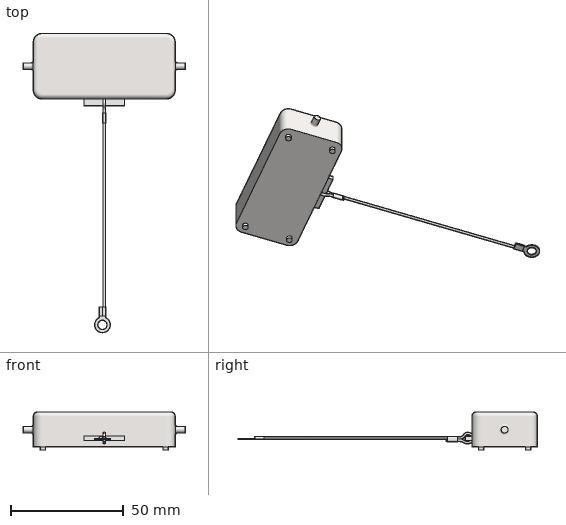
import cadquery as cq
import math

BODY_LENGTH = 63.0
BODY_WIDTH = 29.1
BODY_HEIGHT = 15.5
CORNER_RADIUS = 4.0
TOP_EDGE_RADIUS = 2.0

OVERALL_LENGTH = 72.0
PIN_DIAMETER = 3.0
PIN_HEIGHT = 7.6
PIN_ROOT_RADIUS = 0.9

OVERALL_HEIGHT = 17.0
PEG_DIAMETER = 2.5
PEG_SPACING_X = 54.4
PEG_SPACING_Y = 20.8

TAB_LENGTH = 18.0
TAB_DEPTH = 3.0
TAB_HEIGHT = 2.0
TAB_BASE_HEIGHT = 2.8

OVERALL_WIDTH = 132.69
WIRE_DIAMETER = 1.2
WIRE_HEIGHT = 3.9
LOOP_HALF_HEIGHT = 2.0
LOOP_PEAK_REACH = 2.0
LOOP_RISE = 1.2
LOOP_END_REACH = 5.7

CRIMP_LENGTH = 4.4
CRIMP_START_REACH = 6.3
CRIMP_WIDTH = 1.4
TAIL_DROP = 1.0
TAIL_END_REACH = 11.4

RING_OUTER_DIAMETER = 7.0
RING_HOLE_DIAMETER = 4.0
RING_THICKNESS = 0.4
RING_OFFSET_X = -0.8
SLEEVE_WIDTH = 3.0
SLEEVE_LENGTH = 4.1
SLEEVE_TO_RING_CENTRE = 3.9

front_y = -BODY_WIDTH / 2
crimp_start_y = front_y - CRIMP_START_REACH
wire_radius = WIRE_DIAMETER / 2
wire_bottom = WIRE_HEIGHT - wire_radius
tail_height = WIRE_HEIGHT - TAIL_DROP
ring_centre_y = BODY_WIDTH / 2 - OVERALL_WIDTH + RING_OUTER_DIAMETER / 2
sleeve_end_y = ring_centre_y + SLEEVE_TO_RING_CENTRE
sleeve_start_y = sleeve_end_y + SLEEVE_LENGTH


def rod_along_y(start_y, end_y, height):
    """Round wire running towards -Y at the given height."""
    length = start_y - end_y
    return cq.Workplane("XZ", origin=(0, start_y, height)).circle(wire_radius).extrude(length)


def make_body():
    body = cq.Workplane("XY").rect(BODY_LENGTH, BODY_WIDTH).extrude(BODY_HEIGHT)
    body = body.edges("|Z").fillet(CORNER_RADIUS)
    return body.faces(">Z").edges().fillet(TOP_EDGE_RADIUS)


def make_pin():
    """Pin on the +X end, flared into the wall by a concave root."""
    wall_x = BODY_LENGTH / 2
    tip_x = OVERALL_LENGTH / 2
    pin_radius = PIN_DIAMETER / 2
    root_outer = pin_radius + PIN_ROOT_RADIUS
    arc_drop = PIN_ROOT_RADIUS * (1 - math.sqrt(0.5))
    profile = (
        cq.Workplane("XY", origin=(0, 0, PIN_HEIGHT))
        .moveTo(wall_x - PIN_ROOT_RADIUS, 0)
        .lineTo(wall_x - PIN_ROOT_RADIUS, root_outer)
        .lineTo(wall_x, root_outer)
        .threePointArc(
            (wall_x + arc_drop, pin_radius + arc_drop),
            (wall_x + PIN_ROOT_RADIUS, pin_radius),
        )
        .lineTo(tip_x, pin_radius)
        .lineTo(tip_x, 0)
        .close()
    )
    return profile.revolve(360, (0, 0, 0), (1, 0, 0))


def make_pegs():
    return (
        cq.Workplane("XY")
        .rect(PEG_SPACING_X, PEG_SPACING_Y, forConstruction=True)
        .vertices()
        .circle(PEG_DIAMETER / 2)
        .extrude(BODY_HEIGHT - OVERALL_HEIGHT)
    )


def make_tab():
    return cq.Workplane("XY", origin=(0, front_y - TAB_DEPTH / 2, TAB_BASE_HEIGHT)).box(
        TAB_LENGTH, TAB_DEPTH, TAB_HEIGHT, centered=(True, True, False)
    )


def make_loop_strand(side, end_height):
    """One half of the loop: out of the wall, over its peak, in to the crimp. side is +1 or -1."""
    peak = (front_y - LOOP_PEAK_REACH, WIRE_HEIGHT + side * LOOP_HALF_HEIGHT)
    start = (front_y + wire_radius, WIRE_HEIGHT + side * (LOOP_HALF_HEIGHT - LOOP_RISE))
    end = (front_y - LOOP_END_REACH, end_height)
    crimp_entry = (crimp_start_y - wire_radius, end_height)
    path = (
        cq.Workplane("YZ")
        .moveTo(*start)
        .spline([peak, end], tangents=[(-1, side), (-1, 0), (-1, 0)], includeCurrent=True)
        .lineTo(*crimp_entry)
    )
    section = cq.Workplane(cq.Plane(origin=(0, *start), xDir=(1, 0, 0), normal=(0, -1, side)))
    return section.circle(wire_radius).sweep(path)


def make_crimp():
    crimp_height = CRIMP_WIDTH + TAIL_DROP
    crimp_middle = WIRE_HEIGHT - TAIL_DROP / 2
    return (
        cq.Workplane("XZ", origin=(0, crimp_start_y, crimp_middle))
        .slot2D(crimp_height, CRIMP_WIDTH, 90)
        .extrude(CRIMP_LENGTH)
    )


def make_lanyard():
    wire = rod_along_y(crimp_start_y, sleeve_end_y, WIRE_HEIGHT)
    tail = rod_along_y(crimp_start_y, front_y - TAIL_END_REACH, tail_height)
    upper_strand = make_loop_strand(1, WIRE_HEIGHT)
    lower_strand = make_loop_strand(-1, tail_height)
    return make_crimp().union(wire).union(tail).union(upper_strand).union(lower_strand)


def make_ring_terminal():
    """Flat ring with a neck, crimped to the wire by a two-lobed sleeve."""
    base = cq.Workplane("XY", origin=(RING_OFFSET_X, ring_centre_y, wire_bottom))
    neck_length = sleeve_start_y - ring_centre_y
    ring = base.circle(RING_OUTER_DIAMETER / 2).extrude(RING_THICKNESS)
    neck = base.center(0, neck_length / 2).rect(SLEEVE_WIDTH, neck_length).extrude(RING_THICKNESS)
    hole = base.circle(RING_HOLE_DIAMETER / 2).extrude(RING_THICKNESS)
    half_width = SLEEVE_WIDTH / 2
    lobe_radius = half_width / 2
    sleeve = (
        cq.Workplane("XZ", origin=(RING_OFFSET_X, sleeve_start_y, wire_bottom))
        .moveTo(-half_width, 0)
        .lineTo(-half_width, wire_radius)
        .threePointArc((-lobe_radius, wire_radius + lobe_radius), (0, wire_radius))
        .threePointArc((lobe_radius, wire_radius + lobe_radius), (half_width, wire_radius))
        .lineTo(half_width, 0)
        .close()
        .extrude(SLEEVE_LENGTH)
    )
    return ring.union(neck).cut(hole).union(sleeve)


pin = make_pin()
result = (
    make_body()
    .union(pin)
    .union(pin.mirror("YZ"))
    .union(make_pegs())
    .union(make_tab())
    .union(make_lanyard())
    .union(make_ring_terminal())
)